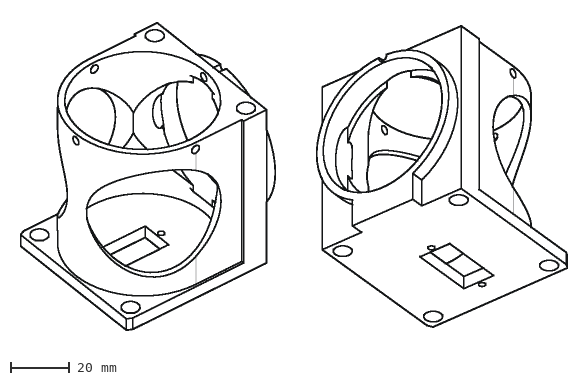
import cadquery as cq
import math

plate_size = 60.0
plate_thickness = 5.0
half_plate = plate_size / 2
corner_cut_x = 1.0
corner_cut_y = 2.0
fixing_hole_diameter = 6.4
fixing_hole_spacing = 50.0

total_height = 67.0
tower_radius = 29.0
bore_diameter = 53.0
back_block_depth = 10.0

axis_height = 36.0
collar_diameter = 57.0
collar_length = 5.0
collar_foot_width = 26.0
back_opening_diameter = 46.0
collar_bore_diameter = 51.2
collar_bore_depth = 9.0

window_diameter = 46.0
window_angle = 63.0

rim_hole_diameter = 3.2
rim_hole_height = 64.0

servo_width = 12.8
servo_length = 24.3
servo_center_y = -6.0
servo_screw_diameter = 2.4
servo_screw_spacing = 28.0

collar_end_y = half_plate + collar_length


def box(x_range, y_range, z_range):
    """Box spanning the given ranges along X, Y and Z."""
    x0, x1 = x_range
    y0, y1 = y_range
    z0, z1 = z_range
    block = cq.Workplane("XY").box(x1 - x0, y1 - y0, z1 - z0, centered=False)
    return block.translate((x0, y0, z0))


def rod(diameter, start, direction, length):
    """Solid cylinder from a start point along a direction."""
    cylinder = cq.Solid.makeCylinder(diameter / 2, length, cq.Vector(*start), cq.Vector(*direction))
    return cq.Workplane(cylinder)


def base_plate():
    """Square plate with the two front corners cut off."""
    outline = [
        (-half_plate, half_plate),
        (-half_plate, -half_plate + corner_cut_y),
        (-half_plate + corner_cut_x, -half_plate),
        (half_plate - corner_cut_x, -half_plate),
        (half_plate, -half_plate + corner_cut_y),
        (half_plate, half_plate),
    ]
    return cq.Workplane("XY").polyline(outline).close().extrude(plate_thickness)


def tower():
    """Solid body: round at the front, straight at the sides, wider at the back."""
    round_front = cq.Workplane("XY").circle(tower_radius).extrude(total_height)
    straight_sides = box((-tower_radius, tower_radius), (0, half_plate), (0, total_height))
    back_block = box(
        (-half_plate, half_plate),
        (half_plate - back_block_depth, half_plate),
        (0, total_height),
    )
    return round_front.union(straight_sides).union(back_block)


def collar():
    """Solid disc on the back face, standing on a narrow foot."""
    ring = rod(collar_diameter, (0, half_plate, axis_height), (0, 1, 0), collar_length)
    foot = box(
        (-collar_foot_width / 2, collar_foot_width / 2),
        (half_plate, collar_end_y),
        (0, axis_height),
    )
    return ring.union(foot)


def back_opening():
    """Opening through the back wall, widened from the collar end."""
    opening = rod(back_opening_diameter, (0, 0, axis_height), (0, 1, 0), collar_end_y)
    counterbore = rod(
        collar_bore_diameter,
        (0, collar_end_y - collar_bore_depth, axis_height),
        (0, 1, 0),
        collar_bore_depth,
    )
    return opening.union(counterbore)


def window(side):
    """Round window from the tower axis outwards; side is -1 or +1 along X."""
    angle = math.radians(window_angle)
    direction = (side * math.sin(angle), -math.cos(angle), 0)
    return rod(window_diameter, (0, 0, axis_height), direction, plate_size)


def fixing_holes():
    """Vertical holes at the four corners, through the plate and the back block."""
    return (
        cq.Workplane("XY")
        .rect(fixing_hole_spacing, fixing_hole_spacing, forConstruction=True)
        .vertices()
        .circle(fixing_hole_diameter / 2)
        .extrude(total_height)
    )


def rim_holes():
    """Two crossing holes just below the rim, one along X and one along Y."""
    along_x = rod(rim_hole_diameter, (-half_plate, 0, rim_hole_height), (1, 0, 0), plate_size)
    along_y = rod(
        rim_hole_diameter,
        (0, -half_plate, rim_hole_height),
        (0, 1, 0),
        half_plate + collar_end_y,
    )
    return along_x.union(along_y)


def servo_cutout():
    """Rectangular opening in the floor with a screw hole beyond each end."""
    plane = cq.Workplane("XY").center(0, servo_center_y)
    opening = plane.rect(servo_width, servo_length).extrude(plate_thickness)
    screw_holes = (
        plane.rarray(1, servo_screw_spacing, 1, 2)
        .circle(servo_screw_diameter / 2)
        .extrude(plate_thickness)
    )
    return opening.union(screw_holes)


def bore():
    """Main vertical bore, open at the top and closed by the floor."""
    return rod(bore_diameter, (0, 0, plate_thickness), (0, 0, 1), total_height - plate_thickness)


result = base_plate().union(tower()).union(collar())
result = result.cut(bore()).cut(back_opening())
for side in (-1, 1):
    result = result.cut(window(side))
result = result.cut(fixing_holes()).cut(rim_holes()).cut(servo_cutout())